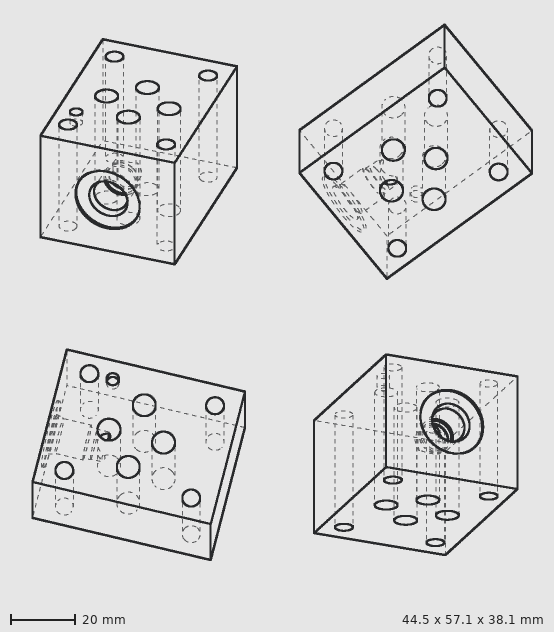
import cadquery as cq
import math

width = 44.45
length = 57.15
height = 38.1
top_z = height / 2
front_y = -length / 2

passage_diameter = 7.15
pattern_y = -0.8
passage_half_pitch_x = 10.35
passage_half_pitch_y = 8.75
front_passage_y = pattern_y - passage_half_pitch_y

bolt_diameter = 5.55
back_bolt_y = 20.65
front_bolt_y = -19.85
back_bolt_half_pitch = 15.5
front_bolt_half_pitch = 16.25

pin_diameter = 3.95
pin_depth = 4.0
pin_y = -12.35

spotface_diameter = 21.25
spotface_depth = 0.8
seal_cone_diameter = 12.7
thread_diameter = 11.15
seal_cone_end_diameter = 11.45
seal_cone_end_depth = 2.85
thread_lead_in = 0.25
thread_depth = 12.0
tap_drill_diameter = 9.9
tap_drill_depth = 14.3
port_drill_diameter = 9.55
port_drill_depth = 17.9

drill_point_angle = 118.0


def drill_point_length(diameter):
    return diameter / 2 / math.tan(math.radians(drill_point_angle / 2))


def through_holes(centres, diameter):
    bottom = cq.Workplane("XY").workplane(offset=-height / 2)
    return bottom.pushPoints(centres).circle(diameter / 2).extrude(height)


def revolved_bore(steps):
    """Bore along +Y from y = 0, given as (diameter, depth) corners ending on its axis."""
    corners = [(0, 0)]
    corners += [(diameter / 2, depth) for diameter, depth in steps]
    return cq.Workplane("XY").polyline(corners).close().revolve(360, (0, 0), (0, 1))


def pin_hole():
    bore = revolved_bore([
        (pin_diameter, 0),
        (pin_diameter, pin_depth),
        (0, pin_depth + drill_point_length(pin_diameter)),
    ])
    downward = bore.rotate((0, 0, 0), (1, 0, 0), -90)
    return downward.translate((-front_bolt_half_pitch, pin_y, top_z))


def threaded_port():
    bore = revolved_bore([
        (spotface_diameter, 0),
        (spotface_diameter, spotface_depth),
        (seal_cone_diameter, spotface_depth),
        (seal_cone_end_diameter, seal_cone_end_depth),
        (thread_diameter, seal_cone_end_depth + thread_lead_in),
        (thread_diameter, thread_depth),
        (tap_drill_diameter, thread_depth),
        (tap_drill_diameter, tap_drill_depth),
        (port_drill_diameter, tap_drill_depth),
        (port_drill_diameter, port_drill_depth),
        (0, port_drill_depth + drill_point_length(port_drill_diameter)),
    ])
    return bore.translate((0, front_y, 0))


passage_centres = [
    (-passage_half_pitch_x, pattern_y),
    (passage_half_pitch_x, pattern_y),
    (0, front_passage_y),
    (0, pattern_y + passage_half_pitch_y),
]
bolt_centres = [
    (side * half_pitch, y)
    for half_pitch, y in ((back_bolt_half_pitch, back_bolt_y), (front_bolt_half_pitch, front_bolt_y))
    for side in (-1, 1)
]

result = (
    cq.Workplane("XY")
    .box(width, length, height)
    .cut(through_holes(passage_centres, passage_diameter))
    .cut(through_holes(bolt_centres, bolt_diameter))
    .cut(pin_hole())
    .cut(threaded_port())
)